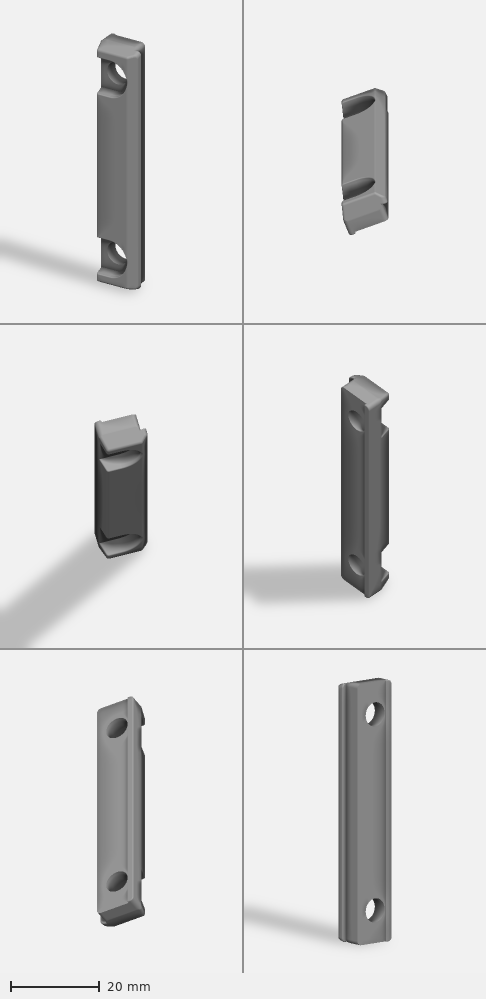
import cadquery as cq
import math

length = 60.0
width = 11.0
depth = 7.5

draft = 15.0
break_depth = 3.9
body_width = 9.65
flange_side_start = 1.8
flange_root_depth = 3.0
back_depth = 6.95
lip_width = 1.6

corner_radius = 1.0
break_radius = 1.0
front_radius = 0.6
small_radius = 0.25

hole_diameter = 5.5
hole_x = 4.5
hole_end_distance = 7.5
seat_radius = 4.5
seat_depth = 3.55

slope = math.tan(math.radians(draft))
front_inset = break_depth * slope
flange_tip_depth = flange_root_depth + (width - body_width) * slope
overshoot = 0.6
margin = 0.05


def edges_within(x_range, y_range, z_range=(0, length)):
    """Selector for the edges whose centres lie in the given ranges."""
    ranges = (x_range, y_range, z_range)
    low_corner = [low - margin for low, high in ranges]
    high_corner = [high + margin for low, high in ranges]
    return cq.selectors.BoxSelector(low_corner, high_corner)


def sloped_bar():
    """Cross-section along Z, with both ends sloped inward towards the front."""
    section = [
        (front_inset, 0),
        (width - flange_side_start, 0),
        (width, flange_side_start),
        (width, flange_tip_depth),
        (body_width, flange_root_depth),
        (body_width, back_depth),
        (lip_width, back_depth),
        (lip_width, depth),
        (0, depth),
        (0, break_depth),
    ]
    side_outline = [
        (0, front_inset),
        (break_depth, 0),
        (depth, 0),
        (depth, length),
        (break_depth, length),
        (0, length - front_inset),
    ]
    bar = cq.Workplane("XY").polyline(section).close().extrude(length)
    side = cq.Workplane("YZ").polyline(side_outline).close().extrude(width)
    return bar.intersect(side)


def round_front(bar):
    """Soften the start of the slopes, then the flange corners and the front edges."""
    slope_breaks = edges_within((0, body_width), (break_depth, break_depth))
    bar = bar.edges(slope_breaks).fillet(break_radius)
    flange_side_middle = (flange_side_start + flange_tip_depth) / 2
    flange_corners = edges_within((width, width), (flange_side_middle, flange_side_middle))
    bar = bar.edges(flange_corners).fillet(corner_radius)
    front_edges = edges_within((0, width - 2 * margin), (0, break_depth / 2))
    return bar.edges(front_edges).fillet(front_radius)


def round_back(bar):
    """Round the end corners of the body, then the lip and the back of the flange."""
    body = cq.Workplane("XY").box(body_width, depth, length, centered=False)
    body = body.edges("|Y").fillet(corner_radius)
    flange_start = body_width - corner_radius
    flange_section = [
        (flange_start, 0),
        (width, 0),
        (width, flange_tip_depth),
        (flange_start, flange_root_depth - corner_radius * slope),
    ]
    flange = cq.Workplane("XY").polyline(flange_section).close().extrude(length)
    bar = bar.intersect(body.union(flange))

    for lip_x in (0, lip_width):
        bar = bar.edges(edges_within((lip_x, lip_x), (depth, depth))).fillet(small_radius)
    flange_back = edges_within(((body_width + width) / 2, width), (flange_root_depth, flange_tip_depth))
    return bar.edges(flange_back).fillet(small_radius)


def add_screw_seat(bar, z):
    """Cut a round-ended recess open to the left with a through hole, and round its rim."""
    recess = (
        cq.Workplane("XZ")
        .moveTo(-overshoot, z - seat_radius)
        .lineTo(hole_x, z - seat_radius)
        .threePointArc((hole_x + seat_radius, z), (hole_x, z + seat_radius))
        .lineTo(-overshoot, z + seat_radius)
        .close()
        .extrude(-seat_depth)
    )
    hole = cq.Workplane("XZ").center(hole_x, z).circle(hole_diameter / 2).extrude(-depth)
    bar = bar.cut(recess).cut(hole)

    seat_z = (z - seat_radius, z + seat_radius)
    rim = edges_within((0, hole_x + seat_radius), (0, seat_depth - 2 * margin), seat_z)
    wall_seams = edges_within((hole_x, hole_x), (0, seat_depth), seat_z)
    front_seam_x = width - flange_side_start - front_radius * math.tan(math.pi / 8)
    front_seams = edges_within((front_seam_x, front_seam_x), (0, 0), seat_z)
    return bar.edges(rim - wall_seams - front_seams).fillet(small_radius)


result = round_back(round_front(sloped_bar()))
for seat_z in (hole_end_distance, length - hole_end_distance):
    result = add_screw_seat(result, seat_z)